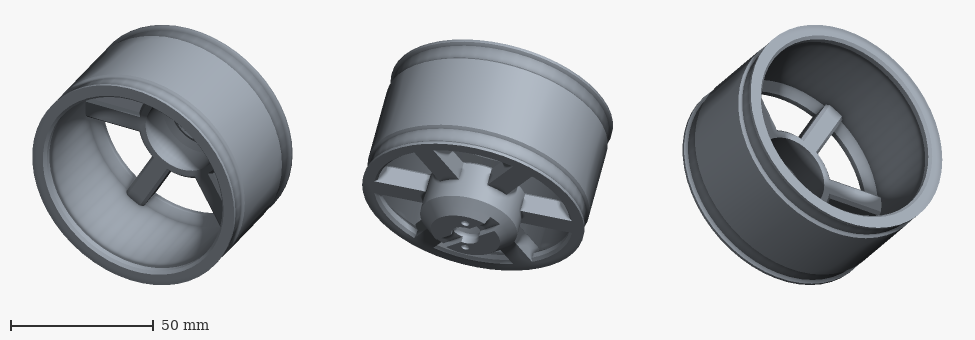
import cadquery as cq


rim_width = 44.0
rim_radius = 80.0 / 2
groove_radius = 78.0 / 2
flange_width = 1.0
groove_floor_width = 5.0
bore_radius = 75.6 / 2
lip_radius = 69.6 / 2
lip_width = 3.0
lip_chamfer = 1.0

spoke_count = 6
spoke_width = 8.0
spoke_thickness = 8.0
spoke_chamfer = 1.1
spoke_back_y = rim_width
spoke_front_y = spoke_back_y - spoke_thickness

hub_radius = 35.0 / 2
hub_back_y = 55.9
hub_back_chamfer = 5.0
recess_radius = 28.0 / 2
recess_taper = 2.0
recess_ledge_radius = recess_radius - recess_taper
recess_ledge_y = hub_back_y - hub_back_chamfer
pocket_radius = 22.5 / 2
pocket_depth = 1.0

axle_hole_diameter = 10.3
pin_hole_diameter = 3.0
pin_hole_offset = 8.0
slot_width = 5.0
slot_depth = 2.2
slot_angle = 45.0


def revolve_profile(points):
    """Revolve a closed outline of (radius, y) points around the Y axis."""
    return cq.Workplane("XY").polyline(points).close().revolve(360, (0, 0, 0), (0, 1, 0))


def disc(radius, start_y, end_y):
    """Solid cylinder on the Y axis."""
    outline = [(0, start_y), (radius, start_y), (radius, end_y), (0, end_y)]
    return revolve_profile(outline)


def rim_half_outer():
    """Outer (radius, y) points from the front face to the edge of the barrel."""
    groove_side = rim_radius - groove_radius
    floor_start = flange_width + groove_side
    floor_end = floor_start + groove_floor_width
    return [
        (rim_radius, 0),
        (rim_radius, flange_width),
        (groove_radius, floor_start),
        (groove_radius, floor_end),
        (rim_radius, floor_end + groove_side),
    ]


def rim_half_inner():
    """Inner (radius, y) points from the front face to the edge of the bore."""
    return [
        (lip_radius + lip_chamfer, 0),
        (lip_radius, lip_chamfer),
        (lip_radius, lip_width),
        (bore_radius, lip_width + bore_radius - lip_radius),
    ]


def mirrored(points):
    """The same points counted from the back face, in reverse order."""
    return [(radius, rim_width - y) for radius, y in reversed(points)]


def make_rim():
    outer = rim_half_outer() + mirrored(rim_half_outer())
    inner = rim_half_inner() + mirrored(rim_half_inner())
    return revolve_profile(outer + inner[::-1])


def make_spider():
    """Hub plate and spokes, with the front edges of their shared outline chamfered."""
    spider = disc(hub_radius, spoke_front_y, spoke_back_y)
    spoke_middle_y = (spoke_front_y + spoke_back_y) / 2
    for index in range(spoke_count // 2):
        bar = cq.Workplane("XY").box(2 * rim_radius, spoke_thickness, spoke_width)
        bar = bar.translate((0, spoke_middle_y, 0))
        bar = bar.rotate((0, 0, 0), (0, 1, 0), index * 360 / spoke_count)
        spider = spider.union(bar)
    spider = spider.faces("<Y").chamfer(spoke_chamfer)
    return spider.intersect(disc(bore_radius, 0, rim_width))


def make_hub_back():
    top_radius = hub_radius - hub_back_chamfer
    return revolve_profile([
        (0, spoke_back_y),
        (hub_radius, spoke_back_y),
        (hub_radius, hub_back_y - hub_back_chamfer),
        (top_radius, hub_back_y),
        (0, hub_back_y),
    ])


def recess_cutter():
    """Front recess of the hub: straight wall, tapered end, flat ledge and a smaller pocket."""
    pocket_floor_y = recess_ledge_y + pocket_depth
    return revolve_profile([
        (0, spoke_front_y),
        (recess_radius, spoke_front_y),
        (recess_radius, recess_ledge_y - recess_taper),
        (recess_ledge_radius, recess_ledge_y),
        (pocket_radius, recess_ledge_y),
        (pocket_radius, pocket_floor_y),
        (0, pocket_floor_y),
    ])


def hole_cutter(diameter, z):
    return disc(diameter / 2, 0, hub_back_y).translate((0, 0, z))


def slot_cutter():
    """Drive slot across the back of the hub, running from -X+Z to +X-Z."""
    slot = cq.Workplane("XY").box(2 * hub_radius, slot_depth, slot_width)
    slot = slot.translate((0, hub_back_y - slot_depth / 2, 0))
    return slot.rotate((0, 0, 0), (0, 1, 0), slot_angle)


result = make_rim().union(make_spider()).union(make_hub_back())
result = result.cut(recess_cutter()).cut(slot_cutter())
result = result.cut(hole_cutter(axle_hole_diameter, 0))
for pin_z in (-pin_hole_offset, pin_hole_offset):
    result = result.cut(hole_cutter(pin_hole_diameter, pin_z))